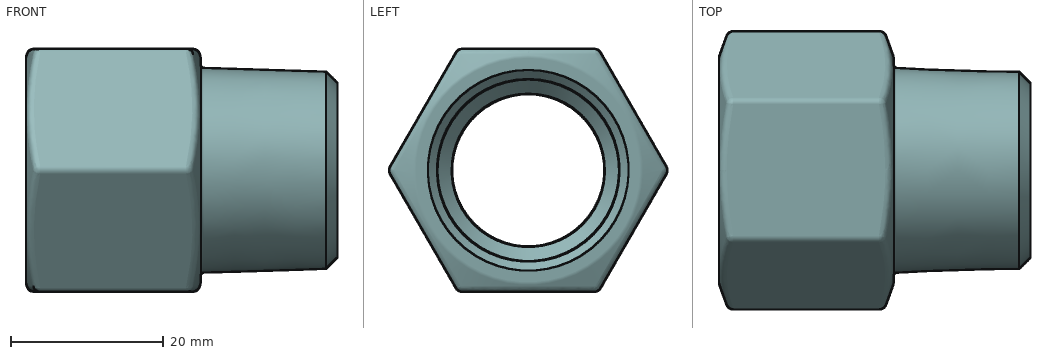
import cadquery as cq
import math

total_length = 41.0
hex_length = 23.0
across_flats = 32.0
edge_fillet = 1.0

corner_cone_angle = 20.0
end_face_radius = 14.92

spigot_base_radius = 13.5
spigot_taper = 1 / 16
spigot_chamfer = 1.5
neck_fillet = 0.4

mouth_radius = 13.2
bore_radius = 12.0
through_radius = 10.0
bore_depth = 18.45
step_ledge = 0.1


def make_hexagon():
    """Hexagonal body with flats facing +Z and -Z and corners coned at both ends."""
    across_corners = across_flats / math.cos(math.pi / 6)
    prism = cq.Workplane("YZ").polygon(6, across_corners).extrude(hex_length)

    middle = hex_length / 2
    envelope_radius = end_face_radius + middle / math.tan(math.radians(corner_cone_angle))
    envelope = (
        cq.Workplane("XZ")
        .moveTo(0, 0)
        .lineTo(0, end_face_radius)
        .lineTo(middle, envelope_radius)
        .lineTo(hex_length, end_face_radius)
        .lineTo(hex_length, 0)
        .close()
        .revolve(360, (0, 0, 0), (1, 0, 0))
    )
    return prism.intersect(envelope).edges().fillet(edge_fillet)


def make_spigot():
    """Tapered spigot with a concave fillet at the hexagon and a 45 degree end chamfer."""
    taper_start = hex_length + neck_fillet
    taper_end = total_length - spigot_chamfer
    tip_radius = spigot_base_radius - (taper_end - taper_start) * spigot_taper / 2
    flare_radius = spigot_base_radius + neck_fillet
    flare_drop = neck_fillet * (1 - math.sqrt(0.5))
    root = hex_length / 2
    return (
        cq.Workplane("XZ")
        .moveTo(root, 0)
        .lineTo(root, flare_radius)
        .lineTo(hex_length, flare_radius)
        .threePointArc(
            (hex_length + flare_drop, spigot_base_radius + flare_drop),
            (taper_start, spigot_base_radius),
        )
        .lineTo(taper_end, tip_radius)
        .lineTo(total_length, tip_radius - spigot_chamfer)
        .lineTo(total_length, 0)
        .close()
        .revolve(360, (0, 0, 0), (1, 0, 0))
    )


def make_bore():
    """Stepped bore through the whole part, with a countersunk mouth and a conical step."""
    mouth_depth = mouth_radius - bore_radius
    step_large_radius = bore_radius - step_ledge
    step_small_radius = through_radius + step_ledge
    step_end = bore_depth + step_large_radius - step_small_radius
    return (
        cq.Workplane("XZ")
        .moveTo(0, 0)
        .lineTo(0, mouth_radius)
        .lineTo(mouth_depth, bore_radius)
        .lineTo(bore_depth, bore_radius)
        .lineTo(bore_depth, step_large_radius)
        .lineTo(step_end, step_small_radius)
        .lineTo(step_end, through_radius)
        .lineTo(total_length, through_radius)
        .lineTo(total_length, 0)
        .close()
        .revolve(360, (0, 0, 0), (1, 0, 0))
    )


result = make_hexagon().union(make_spigot()).cut(make_bore())